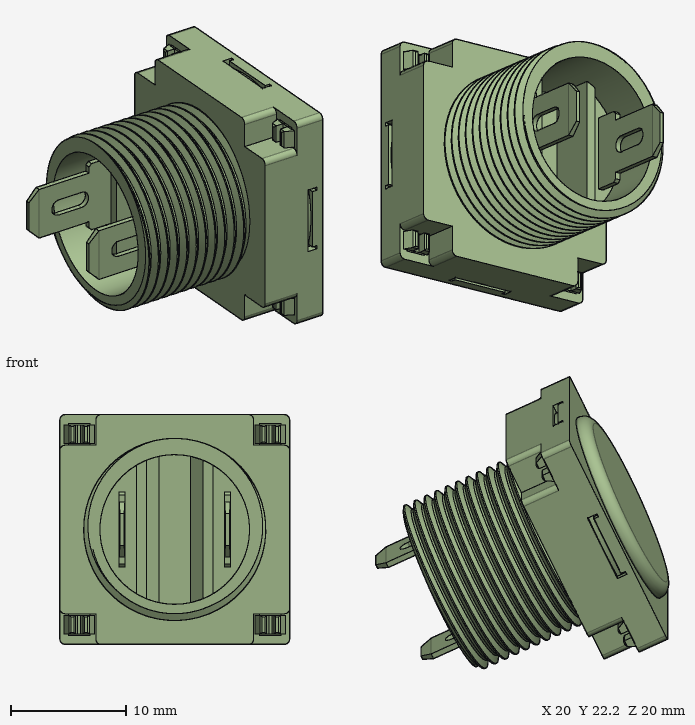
import cadquery as cq
import math


FLANGE_SIZE = 20.0
FLANGE_DEPTH = 6.1
HALF_FLANGE = FLANGE_SIZE / 2
EDGE_RADIUS = 0.5
NOTCH_WIDTH = 3.14
NOTCH_HEIGHT = 2.67
NOTCH_DEPTH = 3.35

CAP_DIAMETER = 17.25
CAP_HEIGHT = 1.13
CAP_EDGE_RADIUS = 1.07

BARREL_LENGTH = 11.0
BORE_DIAMETER = 13.0
BORE_DEPTH = 4.74
THREAD_DIAMETER = 15.83
THREAD_TURNS = 11
THREAD_PITCH = BARREL_LENGTH / THREAD_TURNS
THREAD_HEIGHT = 0.59
FIRST_CREST = 0.78
LEAD_IN_TURNS = 2
THREAD_START = FIRST_CREST - LEAD_IN_TURNS * THREAD_PITCH
OVERLAP = 0.07
CREST_RADIUS = THREAD_DIAMETER / 2
ROOT_RADIUS = CREST_RADIUS - THREAD_HEIGHT
BURIED_RADIUS = ROOT_RADIUS - OVERLAP
FLANK_ANGLE = 30
FLANK_SLOPE = math.tan(math.radians(FLANK_ANGLE))
THREAD_CREST = THREAD_PITCH / 8
THREAD_BASE = THREAD_CREST + 2 * (CREST_RADIUS - BURIED_RADIUS) * FLANK_SLOPE

RIB_OUTER = 3.34
RIB_INNER = 2.47
RIB_DEPTH = 3.91
GROOVE_DEPTH = 9.35
GROOVE_FLOOR = 1.35
GROOVE_BEVEL = RIB_INNER - GROOVE_FLOOR

BLADE_OFFSET = 4.58
BLADE_THICKNESS = 0.5
BLADE_TIP_THICKNESS = 0.35
BLADE_REACH = 4.0
BLADE_HALF_WIDTH = 2.4
BLADE_TAPER = 1.02
SHOULDER_HALF_WIDTH = 3.27
SHOULDER_DEPTH = 2.3
SHOULDER_CHAMFER = 0.27
EYE_WIDTH = 1.5
EYE_LENGTH = 3.87
EYE_END = 1.62

WINDOW_LENGTH = 6.07
WINDOW_REAR = 4.54
WINDOW_FRONT = 5.0
WINDOW_LEG_FRONT = 5.45
WINDOW_LEG_WIDTH = 0.3
INNER_DIAMETER = 19.5

PRONG_OUTER = 0.38
PRONG_INNER = 1.35
PRONG_TIP = 0.85
PRONG_HEIGHT = 0.93
PRONG_CENTER = 1.7
PRONG_LOW = 0.91
PRONG_WIDTH = 1.62
PLINTH_LENGTH = 1.87
PLINTH_HEIGHT = 0.07
PLINTH_BEVEL = 0.11
GAP_DEPTH = 0.33
GAP_FLOOR = 0.27
PRONG_CHAMFER = 0.13


def across(depth):
    """Workplane facing -Y, lying the given distance in front of the flange rear face."""
    return cq.Workplane("XZ", origin=(0, -depth, 0))


def make_flange():
    """Square plate whose rear part is a cross, leaving a notch at each corner."""
    front_depth = FLANGE_DEPTH - NOTCH_DEPTH
    front = across(-FLANGE_DEPTH).rect(FLANGE_SIZE, FLANGE_SIZE).extrude(front_depth)
    front = front.edges("|Y").fillet(EDGE_RADIUS)
    arm_width = FLANGE_SIZE - 2 * NOTCH_WIDTH
    arm_height = FLANGE_SIZE - 2 * NOTCH_HEIGHT
    flange = front
    for width, height in ((FLANGE_SIZE, arm_height), (arm_width, FLANGE_SIZE)):
        bar = across(-NOTCH_DEPTH).rect(width, height).extrude(NOTCH_DEPTH)
        flange = flange.union(bar.edges("|Y").fillet(EDGE_RADIUS))
    return flange


def make_cap():
    cap = across(-FLANGE_DEPTH - CAP_HEIGHT).circle(CAP_DIAMETER / 2).extrude(CAP_HEIGHT)
    return cap.faces(">Y").edges().fillet(CAP_EDGE_RADIUS)


def make_thread():
    """Right-handed helical ridge, cut square at both ends of the barrel."""
    length = BARREL_LENGTH - THREAD_START + THREAD_PITCH
    helix = cq.Wire.makeHelix(THREAD_PITCH, length, BURIED_RADIUS)
    tooth = (
        cq.Workplane("XZ")
        .moveTo(BURIED_RADIUS, -THREAD_BASE / 2)
        .lineTo(CREST_RADIUS, -THREAD_CREST / 2)
        .lineTo(CREST_RADIUS, THREAD_CREST / 2)
        .lineTo(BURIED_RADIUS, THREAD_BASE / 2)
        .close()
    )
    ridge = tooth.sweep(cq.Workplane(helix), isFrenet=True).translate((0, 0, THREAD_START))
    keep = cq.Workplane("XY").rect(FLANGE_SIZE, FLANGE_SIZE).extrude(BARREL_LENGTH)
    return ridge.intersect(keep).rotate((0, 0, 0), (1, 0, 0), 90)


def make_barrel():
    """Bored barrel with its two contact blades and the outer thread."""
    core = across(0).circle(ROOT_RADIUS).extrude(BARREL_LENGTH).cut(make_bore())
    blade = make_blade()
    for side in (-1, 1):
        core = core.union(blade.translate((side * BLADE_OFFSET, 0, 0)))
    return core.union(make_thread())


def make_bore():
    """Space inside the barrel: a blind bore around two ribs, with a deep groove between them."""
    bottom = BARREL_LENGTH - BORE_DEPTH
    bore = across(bottom).circle(BORE_DIAMETER / 2).extrude(BORE_DEPTH)
    rib_height = BORE_DEPTH - RIB_DEPTH
    ribs = across(bottom).rect(2 * RIB_OUTER, BORE_DIAMETER).extrude(rib_height)
    mouth = -BARREL_LENGTH + RIB_DEPTH
    groove_end = -BARREL_LENGTH + GROOVE_DEPTH
    groove = (
        cq.Workplane("XY", origin=(0, 0, -BORE_DIAMETER / 2))
        .moveTo(-RIB_INNER, mouth)
        .lineTo(-RIB_INNER, groove_end - GROOVE_BEVEL)
        .lineTo(-GROOVE_FLOOR, groove_end)
        .lineTo(GROOVE_FLOOR, groove_end)
        .lineTo(RIB_INNER, groove_end - GROOVE_BEVEL)
        .lineTo(RIB_INNER, mouth)
        .close()
        .extrude(BORE_DIAMETER)
    )
    round_limit = across(0).circle(BORE_DIAMETER / 2).extrude(BARREL_LENGTH)
    return bore.cut(ribs).union(groove.intersect(round_limit))


def make_blade():
    """Contact blade centred on X = 0, with a bevelled tip and a long eye."""
    root = -BARREL_LENGTH + BORE_DEPTH + OVERLAP
    shoulder = -BARREL_LENGTH + SHOULDER_DEPTH
    tip = -BARREL_LENGTH - BLADE_REACH
    taper_start = tip + BLADE_TAPER
    half_side = [
        (root, SHOULDER_HALF_WIDTH),
        (shoulder + SHOULDER_CHAMFER, SHOULDER_HALF_WIDTH),
        (shoulder, SHOULDER_HALF_WIDTH - SHOULDER_CHAMFER),
        (shoulder, BLADE_HALF_WIDTH),
        (taper_start, BLADE_HALF_WIDTH),
        (tip, BLADE_HALF_WIDTH - BLADE_TAPER),
    ]
    outline = half_side + [(y, -z) for y, z in reversed(half_side)]
    side = cq.Workplane("YZ").polyline(outline).close().extrude(BLADE_THICKNESS / 2, both=True)
    half_profile = [
        (BLADE_THICKNESS / 2, root),
        (BLADE_THICKNESS / 2, taper_start),
        (BLADE_TIP_THICKNESS / 2, tip),
    ]
    profile = half_profile + [(-x, y) for x, y in reversed(half_profile)]
    thinning = (
        cq.Workplane("XY")
        .polyline(profile)
        .close()
        .extrude(SHOULDER_HALF_WIDTH, both=True)
    )
    eye_center = -BARREL_LENGTH - EYE_END + EYE_LENGTH / 2
    eye = (
        cq.Workplane("YZ")
        .center(eye_center, 0)
        .slot2D(EYE_LENGTH, EYE_WIDTH)
        .extrude(BLADE_THICKNESS, both=True)
    )
    return side.intersect(thinning).cut(eye)


def make_window():
    """U-shaped latch window in the +Z side, reaching down to the round inner wall."""
    half = WINDOW_LENGTH / 2
    inner = half - WINDOW_LEG_WIDTH
    opening = (
        cq.Workplane("XY")
        .moveTo(-half, WINDOW_REAR)
        .lineTo(half, WINDOW_REAR)
        .lineTo(half, WINDOW_LEG_FRONT)
        .lineTo(inner, WINDOW_LEG_FRONT)
        .lineTo(inner, WINDOW_FRONT)
        .lineTo(-inner, WINDOW_FRONT)
        .lineTo(-inner, WINDOW_LEG_FRONT)
        .lineTo(-half, WINDOW_LEG_FRONT)
        .close()
        .extrude(FLANGE_SIZE)
    )
    inner_wall = across(-FLANGE_DEPTH).circle(INNER_DIAMETER / 2).extrude(FLANGE_DEPTH)
    return opening.cut(inner_wall)


def make_prongs():
    """Pair of snap prongs in the notch at the -X, +Z corner."""
    seat = NOTCH_DEPTH
    tip = seat - PRONG_HEIGHT
    prong = (
        cq.Workplane("XY")
        .moveTo(PRONG_OUTER, seat + OVERLAP)
        .lineTo(PRONG_OUTER, seat)
        .lineTo(PRONG_TIP, tip)
        .lineTo(PRONG_INNER, tip)
        .lineTo(PRONG_INNER, seat + OVERLAP)
        .close()
        .extrude(-PRONG_WIDTH)
    )
    prong = prong.faces("<Y").chamfer(PRONG_CHAMFER)
    pair = prong.union(prong.mirror("YZ", (PRONG_CENTER, 0, 0)))
    return pair.translate((-HALF_FLANGE, 0, HALF_FLANGE - PRONG_LOW))


def make_prong_plinth():
    """Low bevelled plinth under the pair of prongs."""
    high = NOTCH_DEPTH - PLINTH_HEIGHT
    half_top = PRONG_WIDTH / 2
    half_base = half_top + PLINTH_BEVEL
    plinth = (
        cq.Workplane("YZ")
        .moveTo(NOTCH_DEPTH + OVERLAP, -half_base)
        .lineTo(NOTCH_DEPTH, -half_base)
        .lineTo(high, -half_top)
        .lineTo(high, half_top)
        .lineTo(NOTCH_DEPTH, half_base)
        .lineTo(NOTCH_DEPTH + OVERLAP, half_base)
        .close()
        .extrude(PLINTH_LENGTH / 2, both=True)
    )
    return plinth.translate((PRONG_CENTER - HALF_FLANGE, 0, HALF_FLANGE - PRONG_LOW - half_top))


def make_prong_gap():
    """Tapered pocket that continues the gap between the prongs below the notch floor."""
    half_gap = PRONG_CENTER - PRONG_INNER
    deep = NOTCH_DEPTH + GAP_DEPTH
    gap = (
        cq.Workplane("XY")
        .moveTo(-half_gap, NOTCH_DEPTH - PLINTH_HEIGHT)
        .lineTo(half_gap, NOTCH_DEPTH - PLINTH_HEIGHT)
        .lineTo(GAP_FLOOR / 2, deep)
        .lineTo(-GAP_FLOOR / 2, deep)
        .close()
        .extrude(-PRONG_WIDTH)
    )
    return gap.translate((PRONG_CENTER - HALF_FLANGE, 0, HALF_FLANGE - PRONG_LOW))


def at_four_corners(feature):
    """Copies of a feature from the -X, +Z corner, mirrored into all four corners."""
    lower = feature.mirror("XY")
    return [feature, lower, feature.mirror("YZ"), lower.mirror("YZ")]


body = make_flange().union(make_cap())

window = make_window()
for turn in range(4):
    body = body.cut(window.rotate((0, 0, 0), (0, 1, 0), 90 * turn))

for plinth in at_four_corners(make_prong_plinth()):
    body = body.union(plinth)
for gap in at_four_corners(make_prong_gap()):
    body = body.cut(gap)
for prong in at_four_corners(make_prongs()):
    body = body.union(prong)

result = body.union(make_barrel(), clean=False)